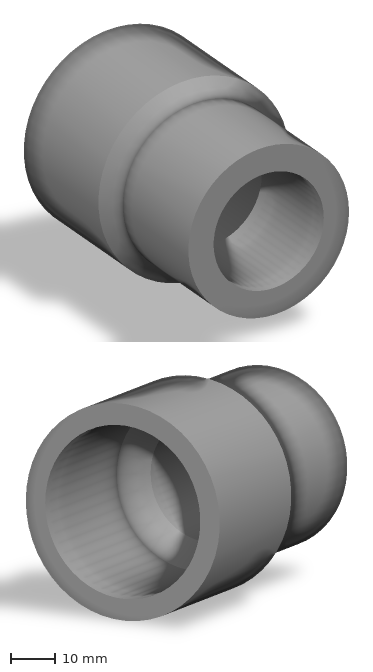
import cadquery as cq

total_length = 66.0
large_outer_diameter = 50.0
small_outer_diameter = 42.0
large_bore_diameter = 40.0
small_bore_diameter = 28.8

large_section_length = 33.0


def make_stepped_round(large_diameter, small_diameter):
    """Solid of revolution narrowing through a 45 degree cone between two cylinders."""
    large_radius = large_diameter / 2
    small_radius = small_diameter / 2
    cone_end = large_section_length + large_radius - small_radius
    profile = (
        cq.Workplane("XY")
        .moveTo(0, 0)
        .lineTo(0, large_radius)
        .lineTo(large_section_length, large_radius)
        .lineTo(cone_end, small_radius)
        .lineTo(total_length, small_radius)
        .lineTo(total_length, 0)
        .close()
    )
    return profile.revolve(360, (0, 0, 0), (1, 0, 0))


outer_body = make_stepped_round(large_outer_diameter, small_outer_diameter)
through_bore = make_stepped_round(large_bore_diameter, small_bore_diameter)

result = outer_body.cut(through_bore)